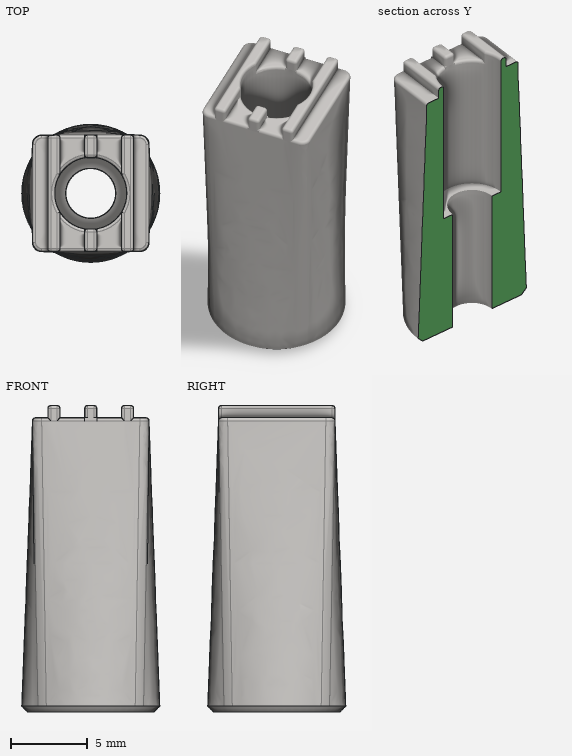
import cadquery as cq
import math

total_height = 20
base_diameter = 9
base_chamfer = 0.4
top_width = 7.6
corner_radius = 0.6
edge_radius = 0.2
rib_width = 0.8
rib_height = 0.8
rib_spacing = 2.4
bore_diameter = 4.7
hole_diameter = 3.25
bore_depth = 10

base_radius = base_diameter / 2
head_z = total_height - rib_height
taper_top_z = head_z - edge_radius
bore_radius = bore_diameter / 2
half_width = top_width / 2
flat_half = half_width - corner_radius
corner_angle = math.degrees(math.atan2(flat_half, half_width))


def base_point(angle):
    """Point on the foot circle at an angle in degrees."""
    return (base_radius * math.cos(math.radians(angle)), base_radius * math.sin(math.radians(angle)))


def corner_point(angle, quarter):
    """Point on the rounded corner of the head that lies in the given quarter (0 to 3)."""
    centre_angle = math.radians(45 + 90 * quarter)
    centre_distance = flat_half * math.sqrt(2)
    return (
        centre_distance * math.cos(centre_angle) + corner_radius * math.cos(math.radians(angle)),
        centre_distance * math.sin(centre_angle) + corner_radius * math.sin(math.radians(angle)),
    )


def make_foot():
    """Cone that forms the chamfer under the tapered body."""
    return cq.Workplane(cq.Solid.makeCone(base_radius - base_chamfer, base_radius, base_chamfer))


def make_taper():
    """Ruled body from the foot circle to the rounded square, split into matching sides and corners."""
    circle = cq.Workplane("XY", origin=(0, 0, base_chamfer)).moveTo(*base_point(-corner_angle))
    square = cq.Workplane("XY", origin=(0, 0, taper_top_z)).moveTo(half_width, -flat_half)
    for quarter in range(4):
        turn = 90 * quarter
        circle = circle.threePointArc(base_point(turn), base_point(turn + corner_angle))
        circle = circle.threePointArc(base_point(turn + 45), base_point(turn + 90 - corner_angle))
        square = square.lineTo(*corner_point(turn, quarter))
        square = square.threePointArc(corner_point(turn + 45, quarter), corner_point(turn + 90, quarter))
    sections = [circle.wire().val(), square.wire().val()]
    return cq.Workplane(cq.Solid.makeLoft(sections, True))


def make_head():
    """Thin square plate with rounded corners and a rounded upper edge."""
    plate = cq.Workplane("XY").rect(top_width, top_width).extrude(head_z)
    plate = plate.edges("|Z").fillet(corner_radius).faces(">Z").edges().fillet(edge_radius)
    return plate.faces(">Z").workplane(offset=-edge_radius).split(keepTop=True)


def make_bar(length, bottom_z):
    """Bar along Y up to the full height, centred on the axis, with rounded ends and top edges."""
    bar = cq.Workplane("XY", origin=(0, 0, bottom_z)).rect(rib_width, length)
    bar = bar.extrude(total_height - bottom_z)
    return bar.edges("|Z").fillet(edge_radius).faces(">Z").edges().fillet(edge_radius)


def make_side_ribs():
    """Two full-length ribs, rooted in the plate and cut through by the bore."""
    rib = make_bar(top_width, taper_top_z)
    pair = rib.translate((-rib_spacing, 0, 0)).union(rib.translate((rib_spacing, 0, 0)))
    return pair.cut(make_bore(total_height))


def make_middle_ribs():
    """Two short ribs on square roots, one on each side of the bore, with both ends rounded."""
    inner_end = math.sqrt(bore_radius**2 - (rib_width / 2) ** 2)
    length = half_width - inner_end
    root = cq.Workplane("XY", origin=(0, 0, taper_top_z)).rect(rib_width, top_width).extrude(edge_radius)
    ribs = root.cut(cq.Workplane("XY").circle(bore_radius).extrude(total_height))
    for side in (-1, 1):
        ribs = ribs.union(make_bar(length, head_z).translate((0, side * (inner_end + length / 2), 0)))
    return ribs


def make_bore(mouth_z):
    """Cutter for the blind bore, flaring with a rounded lip up to the given height."""
    lip_radius = bore_radius + edge_radius
    lip_offset = edge_radius * math.sqrt(0.5)
    lip_start_z = mouth_z - edge_radius
    profile = (
        cq.Workplane("XZ")
        .moveTo(0, head_z - bore_depth)
        .lineTo(bore_radius, head_z - bore_depth)
        .lineTo(bore_radius, lip_start_z)
        .threePointArc((lip_radius - lip_offset, lip_start_z + lip_offset), (lip_radius, mouth_z))
        .lineTo(0, mouth_z)
        .close()
    )
    return profile.revolve(360, (0, 0, 0), (0, 1, 0))


through_hole = cq.Workplane("XY").circle(hole_diameter / 2).extrude(total_height)
body = make_foot().union(make_taper()).union(make_head())
body = body.cut(make_bore(head_z)).cut(through_hole)

result = body.union(make_side_ribs()).union(make_middle_ribs())